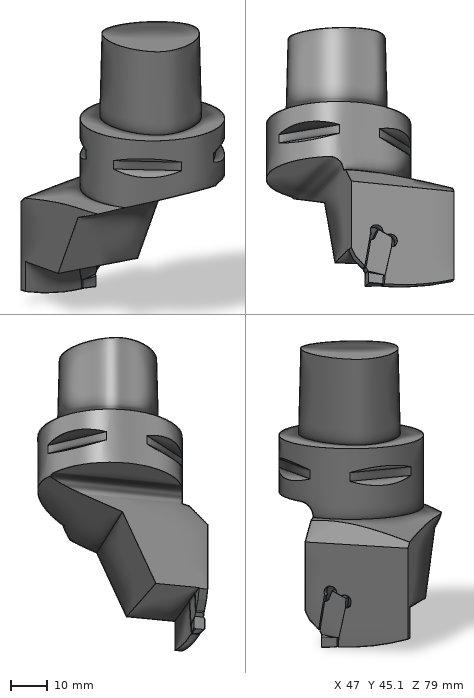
import cadquery as cq
import math


SHANK_HEIGHT = 24.0
SHANK_MEAN_RADIUS = 14.1
SHANK_LOBE = 0.9
SHANK_POINTS = 36
SHANK_TAPER = 0.025

FLANGE_RADIUS = 20.0
FLANGE_BOTTOM = -19.9
SLOT_COUNT = 4
SLOT_FLOOR_DISTANCE = 17.6
SLOT_Z = -8.0
SLOT_FLOOR_HEIGHT = 2.45
SLOT_MOUTH_HEIGHT = 5.45

HEAD_LEFT = -26.6
HEAD_FRONT_RADIUS = 25.05
HEAD_BACK = 4.8
HEAD_CONE_ANGLE = 15
CHAMFER_TOP_X = -21.1
CHAMFER_TOP_Z = -20.15
CHAMFER_BOTTOM_Z = -25.5
SLOPE_TOP_Z = -15.95
SLOPE_FOOT_X = -2.4
SLOPE_FOOT_Z = -24.1
BLOCK_BOTTOM_X = -11.85
BLOCK_BOTTOM_Z = -44.6
BLOCK_FRONT_BOTTOM_Z = -42.4
STEP_FILLET = SLOPE_TOP_Z - FLANGE_BOTTOM

BLADE_BACK_X = -24.2
BLADE_FRONT_X = -24.6
BLADE_TOP_Z = CHAMFER_BOTTOM_Z
BLADE_FRONT_BOTTOM_Z = -51.1
BLADE_CORNER = (-4.8, -54.5)
BLADE_EDGE_MIDDLE = (-15.0, -53.6)
BLADE_NOSE = [(4.8, -44.9), (3.5, -47.4), (0.9, -49.9)]

SEAT_LOW = (-5.0, -52.0)
SEAT_SIDE = (-6.9, -43.45)
SEAT_REAR = (-7.0, -40.7)
SEAT_PEAK = (-3.1, -38.8)
INSERT_NOTCH_TOP = (-2.1, -40.9)
INSERT_NOTCH_MIDDLE = (-1.7, -41.55)
INSERT_NOTCH_LOW = (-0.9, -41.95)
INSERT_NOSE = (0.55, -50.25)
RAKE_TOP = (0.0, -51.3)
POCKET_TOP = (-0.7, -40.5)
RELIEFS = [(-2.5, -39.35), (-6.7, -41.6)]
RELIEF_RADIUS = 1.8

TIP_LEFT = -27.0
TIP_RIGHT = -23.85
TIP_SHOULDER_Z = -51.8
TIP_CORNER_Z = -54.7
TIP_EDGE_Z = -55.0
TIP_CORNER_INSET = 0.5
TIP_HEEL_TOP_Y = -4.5
TIP_HEEL_LOW = (-4.35, -54.5)

SEAT_SLOPE = (RAKE_TOP[1] - SEAT_LOW[1]) / (RAKE_TOP[0] - SEAT_LOW[0])
TIP_HEEL_TOP = (TIP_HEEL_TOP_Y, RAKE_TOP[1] + SEAT_SLOPE * (TIP_HEEL_TOP_Y - RAKE_TOP[0]))


def side_prism(outline, x_start, x_end):
    """Extrude a sketch drawn in (Y, Z) from x_start to x_end."""
    return outline(cq.Workplane("YZ", origin=(x_start, 0, 0))).extrude(x_end - x_start)


def lobed_section(mean_radius):
    """Points of a three-lobed closed curve of constant width, one lobe toward +Y."""
    points = []
    for index in range(SHANK_POINTS):
        angle = 2 * math.pi * index / SHANK_POINTS
        support = mean_radius - SHANK_LOBE * math.sin(3 * angle)
        slope = -3 * SHANK_LOBE * math.cos(3 * angle)
        points.append((support * math.cos(angle) - slope * math.sin(angle),
                       support * math.sin(angle) + slope * math.cos(angle)))
    return points


def shank():
    top_radius = SHANK_MEAN_RADIUS - SHANK_TAPER * SHANK_HEIGHT
    bottom = cq.Workplane("XY").spline(lobed_section(SHANK_MEAN_RADIUS), periodic=True).close()
    return (bottom.workplane(offset=SHANK_HEIGHT)
            .spline(lobed_section(top_radius), periodic=True).close()
            .loft(ruled=True))


def gripper_slot(angle):
    flare = (SLOT_MOUTH_HEIGHT - SLOT_FLOOR_HEIGHT) / 2 / (FLANGE_RADIUS - SLOT_FLOOR_DISTANCE)
    reach = 2 * (FLANGE_RADIUS - SLOT_FLOOR_DISTANCE)
    half_floor = SLOT_FLOOR_HEIGHT / 2
    half_mouth = half_floor + flare * reach
    outer = SLOT_FLOOR_DISTANCE + reach
    return (cq.Workplane("XZ")
            .polyline([(SLOT_FLOOR_DISTANCE, SLOT_Z - half_floor), (outer, SLOT_Z - half_mouth),
                       (outer, SLOT_Z + half_mouth), (SLOT_FLOOR_DISTANCE, SLOT_Z + half_floor)])
            .close().extrude(FLANGE_RADIUS, both=True)
            .rotate((0, 0, 0), (0, 0, 1), angle))


def flange():
    body = cq.Workplane("XY").circle(FLANGE_RADIUS).extrude(FLANGE_BOTTOM)
    for index in range(SLOT_COUNT):
        body = body.cut(gripper_slot((index + 0.5) * 360 / SLOT_COUNT))
    return body


def head_block():
    """Head below the flange, square to the left and round to the right, under a cone."""
    front = -HEAD_FRONT_RADIUS
    plan = (cq.Workplane("XY", origin=(0, 0, BLOCK_BOTTOM_Z))
            .moveTo(HEAD_LEFT, HEAD_BACK).lineTo(HEAD_LEFT, front).lineTo(0, front)
            .radiusArc((HEAD_FRONT_RADIUS, 0), -HEAD_FRONT_RADIUS)
            .lineTo(HEAD_FRONT_RADIUS, HEAD_BACK).close()
            .extrude(FLANGE_BOTTOM - BLOCK_BOTTOM_Z))
    cone_radius = 2 * HEAD_FRONT_RADIUS
    cone_fall = (cone_radius - FLANGE_RADIUS) * math.tan(math.radians(HEAD_CONE_ANGLE))
    cone = (cq.Workplane("XZ")
            .polyline([(0, BLOCK_BOTTOM_Z), (0, FLANGE_BOTTOM), (FLANGE_RADIUS, FLANGE_BOTTOM),
                       (cone_radius, FLANGE_BOTTOM - cone_fall), (cone_radius, BLOCK_BOTTOM_Z)])
            .close().revolve(360, (0, 0, 0), (0, 1, 0)))
    return plan.intersect(cone)


def side_profile():
    """Chamfered left edge and sloping underside that bound the flange and head."""
    return (cq.Workplane("XZ")
            .polyline([(-FLANGE_RADIUS, 0), (-FLANGE_RADIUS, FLANGE_BOTTOM),
                       (CHAMFER_TOP_X, CHAMFER_TOP_Z), (HEAD_LEFT, CHAMFER_BOTTOM_Z),
                       (HEAD_LEFT, BLOCK_BOTTOM_Z), (BLOCK_BOTTOM_X, BLOCK_BOTTOM_Z),
                       (SLOPE_FOOT_X, SLOPE_FOOT_Z), (FLANGE_RADIUS, SLOPE_TOP_Z),
                       (FLANGE_RADIUS, 0)])
            .close().extrude(2 * HEAD_FRONT_RADIUS, both=True))


def rear_step():
    """Space behind the head, with a concave fillet up to the flange underside."""
    def outline(plane):
        return (plane.moveTo(HEAD_BACK, BLOCK_BOTTOM_Z).lineTo(HEAD_BACK, SLOPE_TOP_Z - STEP_FILLET)
                .radiusArc((HEAD_BACK + STEP_FILLET, SLOPE_TOP_Z), STEP_FILLET)
                .lineTo(HEAD_FRONT_RADIUS, SLOPE_TOP_Z).lineTo(HEAD_FRONT_RADIUS, BLOCK_BOTTOM_Z)
                .close())
    return side_prism(outline, -2 * FLANGE_RADIUS, 2 * FLANGE_RADIUS)


def block_underside():
    """Wedge below the block that makes its bottom rise toward the front."""
    def outline(plane):
        return plane.polyline([(HEAD_BACK, BLOCK_BOTTOM_Z), (-HEAD_FRONT_RADIUS, BLOCK_FRONT_BOTTOM_Z),
                               (-HEAD_FRONT_RADIUS, BLOCK_BOTTOM_Z)]).close()
    return side_prism(outline, HEAD_LEFT, FLANGE_RADIUS)


def blade():
    def outline(plane):
        return (plane.moveTo(-HEAD_FRONT_RADIUS, BLADE_TOP_Z).lineTo(HEAD_BACK, BLADE_TOP_Z)
                .lineTo(*BLADE_NOSE[0]).lineTo(*BLADE_NOSE[1]).lineTo(*BLADE_NOSE[2])
                .lineTo(*RAKE_TOP).lineTo(*SEAT_LOW).lineTo(*BLADE_CORNER)
                .threePointArc(BLADE_EDGE_MIDDLE, (-HEAD_FRONT_RADIUS, BLADE_FRONT_BOTTOM_Z))
                .close())
    plate = side_prism(outline, HEAD_LEFT, BLADE_BACK_X)
    thickness = (cq.Workplane("XY", origin=(0, 0, BLADE_TOP_Z))
                 .polyline([(HEAD_LEFT, HEAD_BACK), (HEAD_LEFT, -HEAD_FRONT_RADIUS),
                            (BLADE_FRONT_X, -HEAD_FRONT_RADIUS), (BLADE_BACK_X, HEAD_BACK)])
                 .close().extrude(TIP_EDGE_Z - BLADE_TOP_Z))
    return plate.intersect(thickness)


def pocket():
    """Insert seat with clearance beside the insert and two round corner reliefs."""
    def seat(plane):
        return plane.polyline([SEAT_LOW, SEAT_SIDE, SEAT_REAR, SEAT_PEAK, POCKET_TOP,
                               BLADE_NOSE[2], RAKE_TOP]).close()

    def reliefs(plane):
        return plane.pushPoints(RELIEFS).circle(RELIEF_RADIUS)

    return side_prism(seat, HEAD_LEFT, BLADE_BACK_X).union(side_prism(reliefs, HEAD_LEFT, BLADE_BACK_X))


def make_holder():
    body = flange().union(head_block()).intersect(side_profile())
    body = body.cut(rear_step()).cut(block_underside())
    return body.union(shank()).union(blade()).cut(pocket())


def make_insert():
    def outline(plane):
        return (plane.moveTo(*SEAT_LOW).lineTo(*SEAT_SIDE).lineTo(*SEAT_REAR).lineTo(*SEAT_PEAK)
                .lineTo(*INSERT_NOTCH_TOP).threePointArc(INSERT_NOTCH_MIDDLE, INSERT_NOTCH_LOW)
                .lineTo(*INSERT_NOSE).lineTo(*RAKE_TOP).close())
    return side_prism(outline, HEAD_LEFT, BLADE_BACK_X)


def make_tip():
    """Faceted tip, widest at the rake face and narrowing to the heel."""
    def side_corners(flush_x, wide_x, inset_x):
        rake_y = RAKE_TOP[0]
        return {
            "root": (flush_x, *RAKE_TOP),
            "shoulder": (wide_x, rake_y, TIP_SHOULDER_Z),
            "corner": (wide_x, rake_y, TIP_CORNER_Z),
            "edge": (inset_x, rake_y, TIP_EDGE_Z),
            "heel_top": (flush_x, *TIP_HEEL_TOP),
            "heel_low": (inset_x, *TIP_HEEL_LOW),
        }

    left = side_corners(HEAD_LEFT, TIP_LEFT, TIP_LEFT + TIP_CORNER_INSET)
    right = side_corners(BLADE_BACK_X, TIP_RIGHT, TIP_RIGHT - TIP_CORNER_INSET)
    rake_loop = ["root", "shoulder", "corner", "edge"]
    outlines = [[left[name] for name in rake_loop] + [right[name] for name in reversed(rake_loop)]]
    for first, second in [("root", "heel_top"), ("heel_top", "heel_low"), ("heel_low", "edge")]:
        outlines.append([left[first], left[second], right[second], right[first]])
    facets = [("root", "shoulder", "heel_top"), ("shoulder", "corner", "heel_top"),
              ("corner", "heel_low", "heel_top"), ("corner", "edge", "heel_low")]
    for side in (left, right):
        for facet in facets:
            outlines.append([side[name] for name in facet])
    faces = []
    for outline in outlines:
        wire = cq.Wire.makePolygon([cq.Vector(*point) for point in outline], close=True)
        faces.append(cq.Face.makeFromWires(wire))
    return cq.Solid.makeSolid(cq.Shell.makeShell(faces))


holder = make_holder()
insert = make_insert()
tip = make_tip()
result = cq.Compound.makeCompound([holder.solids().val(), insert.val(), tip])